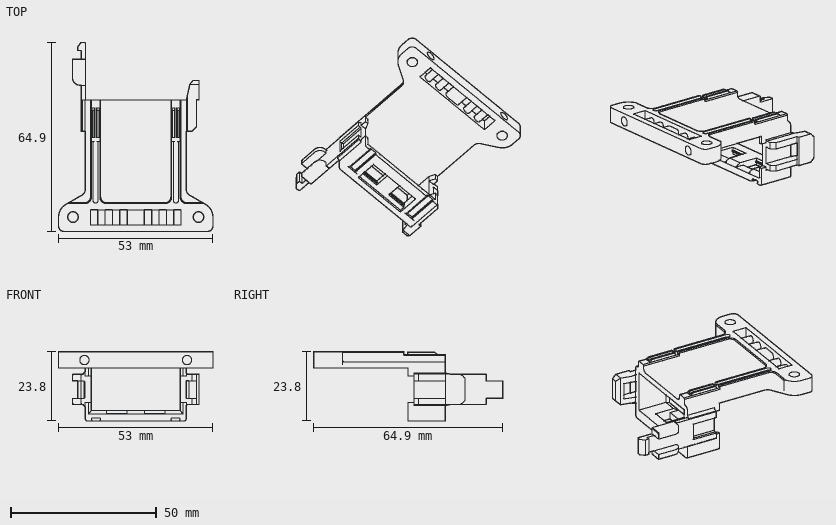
import cadquery as cq
import math

TOTAL_HEIGHT = 23.8
TOTAL_DEPTH = 64.9
PLATE_WIDTH = 53.0

OVERLAP = 0.1
PICK_MARGIN = 0.05

PLATE_BOTTOM = 18.25
FLOOR_TOP = 20.3
DECK_HALF_WIDTH = 17.3
DECK_BACK = 45.2
BAR_BACK = 9.9
BAR_END_RADIUS = 5.0
BAR_FRONT_RADIUS = 1.95
FLARE_ANGLE = math.radians(30)
FLARE_FILLET = 2.3
SHOULDER_RADIUS = 1.1

RAIL_INNER = 12.0
RAIL_OUTER = 15.5
RAIL_CORNER_RADIUS = 1.95
RAIL_STEP_Y = 30.95
RAIL_STEP_TOP = 22.9
RAIL_EDGE_DROP = 0.45
RAIL_EDGE_INSET = 0.3
TROUGH_FILLET = 1.4
LEDGE_FILLET = 0.5
RAIL_CENTRE = (RAIL_INNER + RAIL_OUTER) / 2
RAIL_SLOT_WIDTH = 1.75
RAIL_SLOT_FRONT = 9.8
RAIL_SLOT_DEPTH = TOTAL_HEIGHT - RAIL_STEP_TOP
RAIL_SLOT_OVERRUN = 0.2

RIDGE_FRONT = 32.25
RIDGE_BACK = 42.4
RIDGE_TOP = 23.7
RIDGE_OFFSET = 0.85
RIDGE_BASE_WIDTH = 1.1
RIDGE_TOP_WIDTH = 0.6
RIDGE_BACK_SLOPE = 0.9

MOUNT_HOLE_DIAMETER = 3.6
FACE_HOLE_X = 17.6
FACE_HOLE_Z = 20.95
FACE_HOLE_DIAMETER = 3.2
FACE_HOLE_DEPTH = 3.9
WINDOW_HALF_WIDTH = 15.45
WINDOW_FRONT = 2.35
WINDOW_BACK = 7.45
PIN_DIAMETER = 2.6
PIN_POSITIONS = (6.75, 11.8)
PIN_Z = FACE_HOLE_Z
BLOCK_WIDTH = 5.9
BLOCK_HEIGHT = 2.6
BLOCK_EDGE_RADIUS = 1.0

FRAME_FRONT = 32.3
FRAME_FILLET = 0.85
OPENING_HALF_WIDTH = 15.2
OPENING_BOTTOM = 3.7
LEAD_IN_SIDE = 1.0
LEAD_IN_BOTTOM = 1.2
ARM_FRONT = 34.4
RELIEF_BOTTOM = 6.5
RELIEF_TOP = 15.45
SILL_INNER = 2.9
SILL_OUTER = 10.05
SILL_OPENING_FRONT = 35.75
SILL_OPENING_BACK = 41.55
SILL_RECESS_BACK = 43.2
SILL_RECESS_DEPTH = 1.25
SILL_LIP_DEPTH = 0.3
SILL_LIP_BOTTOM = 2.2
SILL_LIP_TOP = 2.7
GROOVE_CENTRE = 13.6
GROOVE_BACK = 42.45
GROOVE_DEPTH = 1.2
GROOVE_MOUTH_WIDTH = 4.4
GROOVE_NECK_WIDTH = 2.6
GROOVE_WIDTH = 3.0
GROOVE_NECK_Z = 0.25
GROOVE_UNDERCUT_Z = 0.6
GROOVE_CORNER = 0.25

ARM_BOTTOM = 5.7
ARM_TOP = 16.15
LEFT_GUSSET = 0.9
RIGHT_GUSSET = 0.4
TONGUE_BOTTOM = 7.8
TONGUE_TOP = 13.8
LEFT_ARM_INNER = -17.2
LEFT_ARM_OUTER = -18.7
TAB_OUTER = -21.75
TAB_FRONT = 50.2
TAB_BACK = 59.25
TAB_RADIUS = 2.6
TAB_EDGE_RADIUS = 0.4
TAB_BACK_CHAMFER = 0.2
HOOK_OUTER = -19.9
HOOK_FRONT = 62.05
HOOK_SLOPE_START = 63.35
HOOK_TIP_X = -18.75
HOOK_TIP_RADIUS = 0.45
POCKET_FLOOR_X = -17.25
POCKET_BACK = 43.5
POCKET_SLOPE = 0.5
RIGHT_ARM_OUTER = 20.85
RIGHT_ARM_CHAMFER = 1.5
RIGHT_WINDOW_BACK = 49.3
CATCH_OUTER = 21.75
CATCH_TIP = 51.85
CATCH_INNER = 18.5
CATCH_TIP_INNER = 19.6
CATCH_CHAMFER = 1.35


def box(x, y, z):
    """Box from three (low, high) ranges."""
    size = [high - low for low, high in (x, y, z)]
    return cq.Workplane("XY").box(*size, centered=False).translate((x[0], y[0], z[0]))


def along_y(points, y_from, y_to):
    """Extrude a closed XZ polygon between two Y positions."""
    sketch = cq.Workplane("XZ", origin=(0, y_from, 0)).polyline(points).close()
    return sketch.extrude(y_from - y_to)


def both_sides(solid):
    """Add the mirror image across the centre plane X = 0."""
    return solid.union(solid.mirror("YZ"))


def plate_blank(z_top):
    """Bar with rounded ends that flares into the narrower deck."""
    half = PLATE_WIDTH / 2
    end_x = half - BAR_END_RADIUS
    mid_angle = (math.pi / 2 - FLARE_ANGLE) / 2
    arc_mid = (
        end_x + BAR_END_RADIUS * math.cos(mid_angle),
        BAR_END_RADIUS * (1 + math.sin(mid_angle)),
    )
    arc_end = (
        end_x + BAR_END_RADIUS * math.sin(FLARE_ANGLE),
        BAR_END_RADIUS * (1 + math.cos(FLARE_ANGLE)),
    )
    flare_y = arc_end[1] + (arc_end[0] - DECK_HALF_WIDTH) * math.tan(FLARE_ANGLE)
    half_plate = (
        cq.Workplane("XY", origin=(0, 0, PLATE_BOTTOM))
        .lineTo(half, 0)
        .lineTo(half, BAR_END_RADIUS)
        .threePointArc(arc_mid, arc_end)
        .lineTo(DECK_HALF_WIDTH, flare_y)
        .lineTo(DECK_HALF_WIDTH, DECK_BACK)
        .lineTo(0, DECK_BACK)
        .close()
        .extrude(z_top - PLATE_BOTTOM)
    )
    mid_z = (z_top + PLATE_BOTTOM) / 2
    front_corner = cq.NearestToPointSelector((half, 0, mid_z))
    half_plate = half_plate.edges(front_corner).fillet(BAR_FRONT_RADIUS)
    flare_corner = cq.NearestToPointSelector((DECK_HALF_WIDTH, flare_y, mid_z))
    half_plate = half_plate.edges(flare_corner).fillet(FLARE_FILLET)
    return both_sides(half_plate)


def deck():
    """Thin plate whose outer top edge is rounded all round except at the back."""
    blank = plate_blank(FLOOR_TOP)
    rim = blank.faces(">Z").edges().edges("not(>Y)")
    return rim.fillet(SHOULDER_RADIUS)


def raised_body():
    """Full-height bar and rails, joined by rounded corners, with a lowered back part on each rail."""
    bar = plate_blank(TOTAL_HEIGHT).intersect(
        box((-PLATE_WIDTH, PLATE_WIDTH), (0, BAR_BACK), (0, TOTAL_HEIGHT))
    )
    rail = box((RAIL_INNER, RAIL_OUTER), (BAR_BACK - OVERLAP, RAIL_STEP_Y), (PLATE_BOTTOM, TOTAL_HEIGHT))
    body = bar.union(both_sides(rail))
    corners = cq.selectors.BoxSelector(
        (-RAIL_OUTER - PICK_MARGIN, BAR_BACK - PICK_MARGIN, 0),
        (RAIL_OUTER + PICK_MARGIN, BAR_BACK + PICK_MARGIN, TOTAL_HEIGHT),
    )
    body = body.edges("|Z").edges(corners).fillet(RAIL_CORNER_RADIUS)
    rim = cq.selectors.BoxSelector(
        (-PLATE_WIDTH, BAR_BACK - PICK_MARGIN, TOTAL_HEIGHT - PICK_MARGIN),
        (PLATE_WIDTH, RAIL_STEP_Y - PICK_MARGIN, TOTAL_HEIGHT + PICK_MARGIN),
    )
    body = body.faces(">Z").edges(rim).chamfer(RAIL_EDGE_INSET)
    low_rail = box((RAIL_INNER, RAIL_OUTER), (RAIL_STEP_Y, DECK_BACK), (PLATE_BOTTOM, RAIL_STEP_TOP))
    low_rail = low_rail.edges("|Y and >Z").chamfer(RAIL_EDGE_DROP, RAIL_EDGE_INSET)
    return body.union(both_sides(low_rail))


def blend_roots(body):
    """Fillet the corners where the rails and bar rise from the floor."""
    for root_x, radius in (
        (RAIL_INNER, TROUGH_FILLET),
        (RAIL_OUTER, LEDGE_FILLET),
        (-RAIL_OUTER, LEDGE_FILLET),
    ):
        root = cq.selectors.BoxSelector(
            (root_x - PICK_MARGIN, BAR_BACK, FLOOR_TOP - PICK_MARGIN),
            (root_x + PICK_MARGIN, DECK_BACK, FLOOR_TOP + PICK_MARGIN),
        )
        body = body.edges("|Y").edges(root).fillet(radius)
    return body


def mounting_features():
    """Holes and window to remove from the bar."""
    hole_x = PLATE_WIDTH / 2 - BAR_END_RADIUS
    through = cq.Workplane("XY").pushPoints([(-hole_x, BAR_END_RADIUS), (hole_x, BAR_END_RADIUS)])
    through = through.circle(MOUNT_HOLE_DIAMETER / 2).extrude(TOTAL_HEIGHT)
    blind = cq.Workplane("XZ").pushPoints([(-FACE_HOLE_X, FACE_HOLE_Z), (FACE_HOLE_X, FACE_HOLE_Z)])
    blind = blind.circle(FACE_HOLE_DIAMETER / 2).extrude(-FACE_HOLE_DEPTH)
    window = box(
        (-WINDOW_HALF_WIDTH, WINDOW_HALF_WIDTH), (WINDOW_FRONT, WINDOW_BACK), (PLATE_BOTTOM, TOTAL_HEIGHT)
    )
    return through.union(blind).union(window)


def window_pins():
    """Four round pins and a central rounded block bridging the bar window."""
    span = WINDOW_BACK - WINDOW_FRONT
    centres = [(side * x, PIN_Z) for side in (-1, 1) for x in PIN_POSITIONS]
    pins = cq.Workplane("XZ", origin=(0, WINDOW_FRONT, 0)).pushPoints(centres)
    pins = pins.circle(PIN_DIAMETER / 2).extrude(-span)
    block = cq.Workplane("XZ", origin=(0, WINDOW_FRONT, 0)).center(0, PIN_Z)
    block = block.rect(BLOCK_WIDTH, BLOCK_HEIGHT).extrude(-span).edges("|Y").fillet(BLOCK_EDGE_RADIUS)
    return pins.union(block)


def rail_slots():
    """Round-ended slot along the top of each full-height rail."""
    length = RAIL_STEP_Y + RAIL_SLOT_OVERRUN - RAIL_SLOT_FRONT
    slot = (
        cq.Workplane("XY", origin=(RAIL_CENTRE, RAIL_SLOT_FRONT + length / 2, TOTAL_HEIGHT))
        .slot2D(length, RAIL_SLOT_WIDTH, 90)
        .extrude(-RAIL_SLOT_DEPTH)
    )
    return both_sides(slot)


def rail_ridges():
    """Pair of tapered ridges, sloped at the back, on each lowered rail end."""
    ridges = cq.Workplane("XY")
    cut_back = (
        cq.Workplane("YZ")
        .polyline(
            [
                (RIDGE_FRONT, PLATE_BOTTOM),
                (RIDGE_BACK, PLATE_BOTTOM),
                (RIDGE_BACK, RAIL_STEP_TOP),
                (RIDGE_BACK - RIDGE_BACK_SLOPE, RIDGE_TOP),
                (RIDGE_FRONT, RIDGE_TOP),
            ]
        )
        .close()
        .extrude(DECK_HALF_WIDTH)
    )
    for side in (-1, 1):
        x = RAIL_CENTRE + side * RIDGE_OFFSET
        base = RAIL_STEP_TOP - RAIL_EDGE_DROP
        section = [
            (x - RIDGE_BASE_WIDTH / 2, base),
            (x + RIDGE_BASE_WIDTH / 2, base),
            (x + RIDGE_BASE_WIDTH / 2, RAIL_STEP_TOP),
            (x + RIDGE_TOP_WIDTH / 2, RIDGE_TOP),
            (x - RIDGE_TOP_WIDTH / 2, RIDGE_TOP),
            (x - RIDGE_BASE_WIDTH / 2, RAIL_STEP_TOP),
        ]
        ridges = ridges.union(along_y(section, RIDGE_FRONT, RIDGE_BACK).intersect(cut_back))
    return both_sides(ridges)


def plate():
    """Complete upper plate: deck, bar and rails with all their details."""
    body = blend_roots(deck().union(raised_body()))
    body = body.cut(mounting_features()).union(window_pins())
    return body.cut(rail_slots()).union(rail_ridges())


def lead_in():
    """Tapered mouth that widens the frame opening toward the front."""
    low = OPENING_BOTTOM - LEAD_IN_BOTTOM
    wide = OPENING_HALF_WIDTH + LEAD_IN_SIDE
    height = PLATE_BOTTOM - low
    mouth = cq.Workplane("XZ", origin=(0, FRAME_FRONT, (low + PLATE_BOTTOM) / 2)).rect(2 * wide, height)
    inner_height = PLATE_BOTTOM - OPENING_BOTTOM
    mouth = mouth.workplane(offset=FRAME_FRONT - ARM_FRONT).center(0, LEAD_IN_BOTTOM / 2)
    return mouth.rect(2 * OPENING_HALF_WIDTH, inner_height).loft()


def frame_grooves():
    """Undercut grooves along the frame underside that match the rails."""
    half_section = [
        (GROOVE_MOUTH_WIDTH / 2, 0),
        (GROOVE_NECK_WIDTH / 2, GROOVE_NECK_Z),
        (GROOVE_WIDTH / 2, GROOVE_UNDERCUT_Z),
        (GROOVE_WIDTH / 2, GROOVE_DEPTH - GROOVE_CORNER),
        (GROOVE_WIDTH / 2 - GROOVE_CORNER, GROOVE_DEPTH),
    ]
    right = [(GROOVE_CENTRE + x, z) for x, z in half_section]
    left = [(GROOVE_CENTRE - x, z) for x, z in reversed(half_section)]
    return both_sides(along_y(right + left, FRAME_FRONT, GROOVE_BACK))


def sill_openings():
    """Two windows through the bottom bar, each with a lip at the back, above a shared recess."""
    window = box(
        (SILL_INNER, SILL_OUTER), (SILL_OPENING_FRONT, SILL_OPENING_BACK), (0, OPENING_BOTTOM)
    )
    lip = box(
        (SILL_INNER, SILL_OUTER),
        (SILL_OPENING_BACK - SILL_LIP_DEPTH, SILL_OPENING_BACK),
        (SILL_LIP_BOTTOM, SILL_LIP_TOP),
    )
    notch = box(
        (SILL_INNER, SILL_OUTER),
        (FRAME_FRONT, SILL_OPENING_FRONT),
        (OPENING_BOTTOM - LEAD_IN_BOTTOM, OPENING_BOTTOM),
    )
    recess = box(
        (-SILL_OUTER, SILL_OUTER), (SILL_OPENING_FRONT, SILL_RECESS_BACK), (0, SILL_RECESS_DEPTH)
    )
    return both_sides(window.cut(lip).union(notch)).union(recess)


def frame():
    """Frame below the deck with set-back side walls, a tapered mouth and a pierced bottom bar."""
    wide = (-DECK_HALF_WIDTH, DECK_HALF_WIDTH)
    outside = box(wide, (FRAME_FRONT, DECK_BACK), (0, PLATE_BOTTOM))
    outside = outside.edges("|Y and <Z").fillet(FRAME_FILLET)
    opening = box(
        (-OPENING_HALF_WIDTH, OPENING_HALF_WIDTH), (FRAME_FRONT, DECK_BACK), (OPENING_BOTTOM, PLATE_BOTTOM)
    )
    relief = box(wide, (FRAME_FRONT, ARM_FRONT), (RELIEF_BOTTOM, RELIEF_TOP))
    body = outside.cut(opening).cut(relief).cut(lead_in())
    return body.cut(sill_openings()).cut(frame_grooves())


def gusset(side, size, y_to):
    """Sloped strip blending an arm into the frame wall, above and below the arm."""
    root = side * (DECK_HALF_WIDTH - OVERLAP)
    tip = side * DECK_HALF_WIDTH + side * size
    section = [
        (root, ARM_BOTTOM - size),
        (side * DECK_HALF_WIDTH, ARM_BOTTOM - size),
        (tip, ARM_BOTTOM),
        (tip, ARM_TOP),
        (side * DECK_HALF_WIDTH, ARM_TOP + size),
        (root, ARM_TOP + size),
    ]
    return along_y(section, ARM_FRONT, y_to)


def left_tab(z_low, z_high, outer_face):
    """Guide tab beside the tongue; outer_face names the face whose rim is rounded."""
    tab = box((TAB_OUTER, LEFT_ARM_INNER), (TAB_FRONT, TAB_BACK), (z_low, z_high))
    tab = tab.edges("|Z and <X and <Y").fillet(TAB_RADIUS)
    tab = tab.faces(outer_face).edges("<X").fillet(TAB_EDGE_RADIUS)
    return tab.edges("|Z and <X and >Y").chamfer(TAB_BACK_CHAMFER)


def left_arm():
    """Long arm ending in a hooked tongue, with two guide tabs and a tapered thumb pocket."""
    arm = box((LEFT_ARM_OUTER, LEFT_ARM_INNER), (ARM_FRONT, TAB_FRONT), (ARM_BOTTOM, ARM_TOP))
    tongue = (
        cq.Workplane("XY", origin=(0, 0, TONGUE_BOTTOM))
        .polyline(
            [
                (LEFT_ARM_INNER, TAB_FRONT),
                (LEFT_ARM_INNER, TOTAL_DEPTH),
                (HOOK_TIP_X, TOTAL_DEPTH),
                (HOOK_OUTER, HOOK_SLOPE_START),
                (HOOK_OUTER, HOOK_FRONT),
                (LEFT_ARM_OUTER, HOOK_FRONT),
                (LEFT_ARM_OUTER, TAB_FRONT),
            ]
        )
        .close()
        .extrude(TONGUE_TOP - TONGUE_BOTTOM)
        .edges("|Z and >Y")
        .fillet(HOOK_TIP_RADIUS)
    )
    arm = arm.union(tongue)
    arm = arm.union(left_tab(ARM_BOTTOM, TONGUE_BOTTOM, "<Z")).union(left_tab(TONGUE_TOP, ARM_TOP, ">Z"))
    arm = arm.union(gusset(-1, LEFT_GUSSET, DECK_BACK))
    pocket = box((LEFT_ARM_OUTER, POCKET_FLOOR_X), (ARM_FRONT, POCKET_BACK), (TONGUE_BOTTOM, TONGUE_TOP))
    slope_edges = pocket.faces(">X").edges("not(<Y)")
    return arm.cut(slope_edges.chamfer(POCKET_SLOPE))


def right_arm():
    """Short arm with a sloped inner face, a catch ledge and a window open to the front."""
    root = DECK_HALF_WIDTH - OVERLAP
    outline = [
        (root, ARM_FRONT),
        (RIGHT_ARM_OUTER - RIGHT_ARM_CHAMFER, ARM_FRONT),
        (RIGHT_ARM_OUTER, ARM_FRONT + RIGHT_ARM_CHAMFER),
        (RIGHT_ARM_OUTER, DECK_BACK),
        (CATCH_OUTER, DECK_BACK),
        (CATCH_OUTER, CATCH_TIP),
        (CATCH_TIP_INNER, CATCH_TIP),
        (CATCH_INNER, CATCH_TIP - CATCH_CHAMFER),
        (DECK_HALF_WIDTH, DECK_BACK),
        (root, DECK_BACK),
    ]
    footprint = cq.Workplane("XY").polyline(outline).close().extrude(PLATE_BOTTOM)
    arm = box((root, CATCH_OUTER), (ARM_FRONT, CATCH_TIP), (ARM_BOTTOM, ARM_TOP))
    arm = arm.edges("|X and >Y").chamfer(CATCH_CHAMFER)
    window = box(
        (DECK_HALF_WIDTH, RIGHT_ARM_OUTER), (ARM_FRONT, RIGHT_WINDOW_BACK), (TONGUE_BOTTOM, TONGUE_TOP)
    )
    return arm.union(gusset(1, RIGHT_GUSSET, RIGHT_WINDOW_BACK)).intersect(footprint).cut(window)


result = plate().union(frame()).union(left_arm()).union(right_arm())